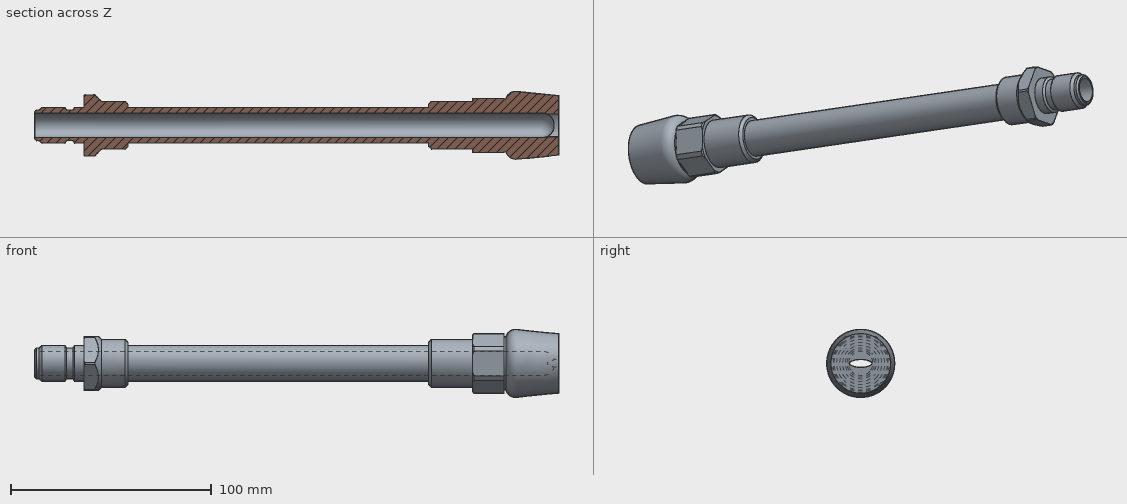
import cadquery as cq
import math

total_length = 261.29
half_length = total_length / 2

plug_radius = 9.0
tip_radius = 7.7
tip_chamfer = 0.9
tip_length = 2.2
plug_start = 3.7
groove_radius = 7.7
groove_start = 15.1
groove_end = 19.9
groove_wall_run = 0.8

hex_across_flats = 27.0
hex_start = 24.5
hex_corner_radius = 15.3
hex_front_chamfer = 0.5
hex_cone_start = 30.0
collar_radius = 12.0
collar_start = hex_cone_start + hex_corner_radius - collar_radius
front_collar_end = 46.6
collar_chamfer_run = 1.5
collar_chamfer_rise = 1.5

tube_radius = 9.0
rear_collar_start = 196.3

nut_across_flats = 27.0
nut_corner_radius = 14.9
nut_start = 218.3
nut_end = 234.0
nut_chamfer = 0.7
neck_radius = 13.3

head_start = 234.7
head_radius = 17.02
shoulder_radius = 5.1
taper_angle = math.radians(5.8)
shoulder_centre = head_start + shoulder_radius

bore_radius = 6.0
dome_tip_wall = 2.0
dome_tip = total_length - dome_tip_wall
dome_centre = dome_tip - bore_radius
slot_half_width = 5.6
slot_half_height = 1.9


def revolve_about_x(outline):
    """Turn a closed (distance along X, radius) outline into a solid of revolution."""
    return outline.close().revolve(360, (0, 0, 0), (1, 0, 0))


def hex_prism(across_flats, start, end, corner_angle):
    """Hexagonal prism along X with one corner at the given angle from +Y."""
    corner_diameter = across_flats / math.cos(math.pi / 6)
    prism = cq.Workplane("YZ", origin=(start, 0, 0)).polygon(6, corner_diameter).extrude(end - start)
    return prism.rotate((0, 0, 0), (1, 0, 0), corner_angle)


def make_plug_and_tube():
    """Plug, front collar, tube, rear collar and neck, all round about X."""
    collar_edge_radius = collar_radius - collar_chamfer_rise
    outline = (
        cq.Workplane("XY")
        .moveTo(0, 0)
        .lineTo(0, tip_radius - tip_chamfer)
        .lineTo(tip_chamfer, tip_radius)
        .lineTo(tip_length, tip_radius)
        .lineTo(plug_start, plug_radius)
        .lineTo(groove_start, plug_radius)
        .lineTo(groove_start + groove_wall_run, groove_radius)
        .lineTo(groove_end - groove_wall_run, groove_radius)
        .lineTo(groove_end, plug_radius)
        .lineTo(hex_start, plug_radius)
        .lineTo(hex_start, collar_radius)
        .lineTo(front_collar_end - collar_chamfer_run, collar_radius)
        .lineTo(front_collar_end, collar_edge_radius)
        .lineTo(front_collar_end, tube_radius)
        .lineTo(rear_collar_start, tube_radius)
        .lineTo(rear_collar_start, collar_edge_radius)
        .lineTo(rear_collar_start + collar_chamfer_run, collar_radius)
        .lineTo(nut_start, collar_radius)
        .lineTo(nut_start, neck_radius)
        .lineTo(shoulder_centre, neck_radius)
        .lineTo(shoulder_centre, 0)
    )
    return revolve_about_x(outline)


def make_plug_hex():
    """Hexagon with corners on Y, its corners turned to a long cone at the rear."""
    envelope = revolve_about_x(
        cq.Workplane("XY")
        .moveTo(hex_start, 0)
        .lineTo(hex_start, hex_corner_radius - hex_front_chamfer)
        .lineTo(hex_start + hex_front_chamfer, hex_corner_radius)
        .lineTo(hex_cone_start, hex_corner_radius)
        .lineTo(collar_start, collar_radius)
        .lineTo(collar_start, 0)
    )
    return hex_prism(hex_across_flats, hex_start, collar_start, 0).intersect(envelope)


def make_nut():
    """Hexagon with corners on Z, turned down to a cylinder and chamfered at the collar end."""
    envelope = (
        cq.Workplane("YZ", origin=(nut_start, 0, 0))
        .circle(nut_corner_radius)
        .extrude(nut_end - nut_start)
        .faces("<X")
        .chamfer(nut_chamfer)
    )
    return hex_prism(nut_across_flats, nut_start, nut_end, 90).intersect(envelope)


def make_head():
    """Spray head with a rounded shoulder that runs into a slow taper."""
    centre_radius = head_radius - shoulder_radius

    def shoulder_point(angle):
        """Point on the shoulder, its angle measured from -X towards the outside."""
        along = shoulder_centre - shoulder_radius * math.cos(angle)
        return along, centre_radius + shoulder_radius * math.sin(angle)

    taper_start_angle = math.pi / 2 + taper_angle
    taper_start = shoulder_point(taper_start_angle)
    end_radius = taper_start[1] - (total_length - taper_start[0]) * math.tan(taper_angle)
    outline = (
        cq.Workplane("XY")
        .moveTo(head_start, 0)
        .lineTo(*shoulder_point(0))
        .threePointArc(shoulder_point(taper_start_angle / 2), taper_start)
        .lineTo(total_length, end_radius)
        .lineTo(total_length, 0)
    )
    return revolve_about_x(outline)


def make_bore():
    """Bore from the plug tip to a hemispherical end inside the head."""
    diagonal = bore_radius * math.sqrt(0.5)
    outline = (
        cq.Workplane("XY")
        .moveTo(0, 0)
        .lineTo(0, bore_radius)
        .lineTo(dome_centre, bore_radius)
        .threePointArc((dome_centre + diagonal, diagonal), (dome_tip, 0))
    )
    return revolve_about_x(outline)


def make_slot():
    """Lens-shaped slot, wide along Y, from the dome out through the head."""
    return (
        cq.Workplane("YZ", origin=(dome_centre, 0, 0))
        .ellipse(slot_half_width, slot_half_height)
        .extrude(total_length - dome_centre)
    )


body = make_plug_and_tube().union(make_plug_hex()).union(make_nut()).union(make_head())
result = body.cut(make_bore()).cut(make_slot()).translate((-half_length, 0, 0))